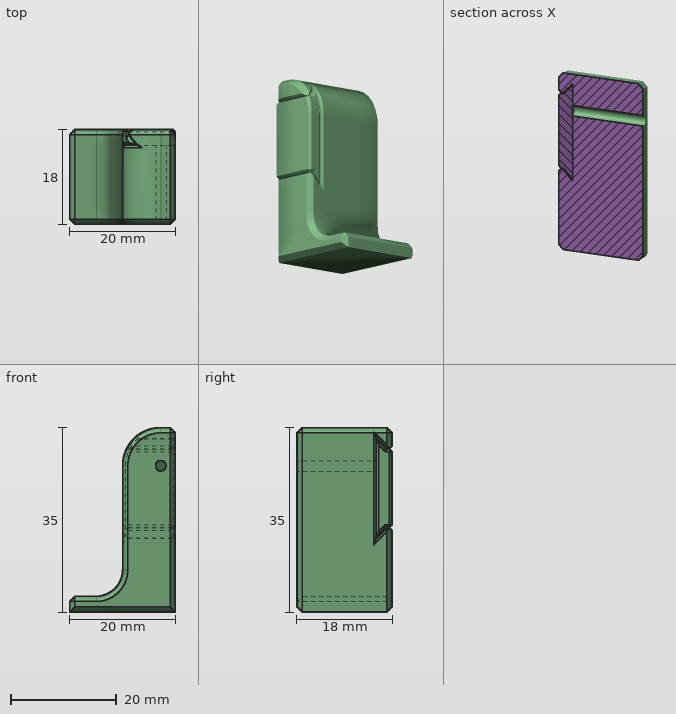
import cadquery as cq
import math

depth = 20.0
width = 18.0
height = 34.95
foot_height = 3.0
stem_front = 10.0
inner_radius = 5.0
crown_radius = 7.25
edge_chamfer = 1.0
crown_x = stem_front + crown_radius
crown_z = height - crown_radius

slot_middle_z = 23.45
slot_mouth = 15.0
slot_depth = 3.0
slot_lip = 1.0
slot_chamfer = 0.5
clearance = 0.1
flare_angle = 45.0
side_y = width / 2
slot_floor_y = side_y - slot_depth

hole_diameter = 2.0

tolerance = 0.01


def arc_point(center_x, center_z, radius, angle):
    """Point on an arc in the XZ plane, at an angle in degrees from +X."""
    turn = math.radians(angle)
    return (center_x + radius * math.cos(turn), center_z + radius * math.sin(turn))


def plain_bracket():
    """Bracket profile, a foot and a stem with a rounded crown, extruded across the width."""
    bend_x = stem_front - inner_radius
    bend_z = foot_height + inner_radius
    return (
        cq.Workplane("XZ", origin=(0, side_y, 0))
        .lineTo(depth, 0)
        .lineTo(depth, height)
        .lineTo(crown_x, height)
        .threePointArc(arc_point(crown_x, crown_z, crown_radius, 135), (stem_front, crown_z))
        .lineTo(stem_front, bend_z)
        .threePointArc(arc_point(bend_x, bend_z, inner_radius, -45), (bend_x, foot_height))
        .lineTo(0, foot_height)
        .close()
        .extrude(width)
    )


def dovetail_bar(gap):
    """Bar along X on the floor of the slot, drawn in from its lips and flares by the gap."""
    mouth = slot_mouth / 2 - gap
    neck_y = side_y - slot_lip - gap * math.tan(math.radians(flare_angle / 2))
    floor = mouth + (neck_y - slot_floor_y) * math.tan(math.radians(flare_angle))
    return (
        cq.Workplane("YZ", origin=(0, 0, slot_middle_z))
        .polyline([
            (side_y, -mouth),
            (neck_y, -mouth),
            (slot_floor_y, -floor),
            (slot_floor_y, floor),
            (neck_y, mouth),
            (side_y, mouth),
        ])
        .close()
        .extrude(depth)
    )


def chamfer_ends_and_mouth(shape, edges):
    """Chamfer those edges that run around a shape's ends or along the mouth of the slot."""
    chosen = []
    for edge in edges:
        along_x = edge.geomType() == "LINE" and abs(edge.tangentAt(0).x) > 1 - tolerance
        at_mouth = edge.Center().y > side_y - tolerance
        if at_mouth or not along_x:
            chosen.append(edge)
    return shape.newObject(chosen).chamfer(slot_chamfer)


def slot_region():
    """Selector for everything within the slot."""
    flare_run = (slot_depth - slot_lip) * math.tan(math.radians(flare_angle))
    half_floor = slot_mouth / 2 + flare_run + tolerance
    return cq.selectors.BoxSelector(
        (0, slot_floor_y - tolerance, slot_middle_z - half_floor),
        (depth + tolerance, side_y + tolerance, slot_middle_z + half_floor),
    )


def make_bracket():
    """Bracket with chamfered outline, the open slot and the round hole."""
    outline = plain_bracket()
    side_edges = outline.faces("<Y or >Y").edges().vals()
    ridge_edges = outline.edges("|Y and >Z and >X").vals()
    toe_edge = outline.faces("<X").edges(">Z").vals()
    outline = outline.newObject(side_edges + ridge_edges + toe_edge).chamfer(edge_chamfer)

    slotted = plain_bracket().cut(dovetail_bar(0))
    slot_edges = slotted.edges(slot_region()).vals()
    slotted = chamfer_ends_and_mouth(slotted, slot_edges)

    hole = (
        cq.Workplane("XZ", origin=(crown_x, -side_y, crown_z))
        .circle(hole_diameter / 2)
        .extrude(-(width - slot_depth))
    )
    return outline.intersect(slotted).cut(hole)


def make_insert():
    """Bar that fills the slot with a small gap and follows the bracket's front and back."""
    bar = plain_bracket().intersect(dovetail_bar(clearance))
    lip_z = slot_middle_z + slot_mouth / 2 - clearance
    edges = []
    for edge in bar.edges().vals():
        middle = edge.Center()
        sharp = abs(middle.z - lip_z) < tolerance and middle.x < stem_front + slot_lip
        if not sharp:
            edges.append(edge)
    return chamfer_ends_and_mouth(bar, edges)


bracket = make_bracket()
insert = make_insert()

result = cq.Compound.makeCompound([bracket.val(), insert.val()])